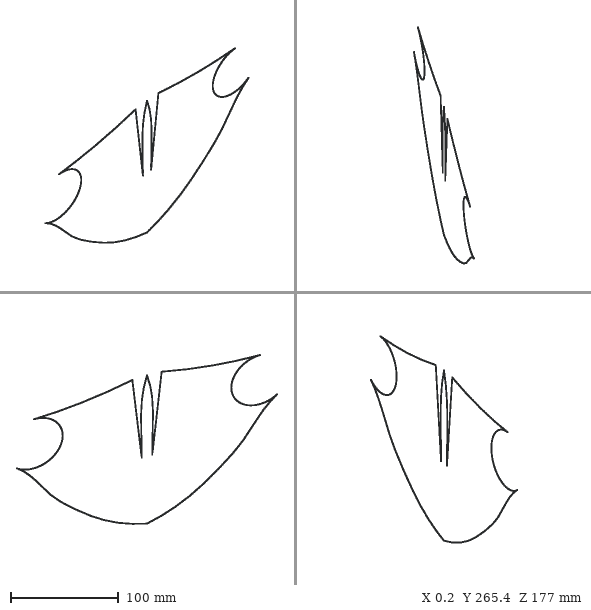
import cadquery as cq
import math

thickness = 0.2
half_width = 132.7
height = 177.0

bite_radius = 29.2
bite_center_y = 115.2
bite_center_z = 133.5
bite_top = (bite_center_y, bite_center_z + bite_radius)
bite_inner = (bite_center_y - bite_radius, bite_center_z)
wing_offset = half_width - bite_center_y
wing_tip = (half_width, bite_center_z - math.sqrt(bite_radius**2 - wing_offset**2))

shoulder = (14.9, 176.2)
upper_edge_middle = (55.5, 168.0)

blade_tip = (0, height)
blade_half_width = 6.0
slit_bottom = (5.3, 80.5)
blade_upper = (5.0, 151.3)
blade_middle = (blade_half_width, 122.0)

keel = (0, 0)
lower_curve = [(118.6, 96.0), (98.7, 67.7), (70.0, 38.7), (45.0, 19.6), (16.7, 5.3), keel]


def half_sheet():
    """Half of the sheet on the +Y side, with its straight edge on the symmetry plane."""
    return (
        cq.Workplane("YZ", origin=(-thickness / 2, 0, 0))
        .moveTo(*blade_tip)
        .spline([blade_upper, blade_middle, slit_bottom], includeCurrent=True)
        .lineTo(*shoulder)
        .spline([upper_edge_middle, bite_top], includeCurrent=True)
        .threePointArc(bite_inner, wing_tip)
        .spline(lower_curve, includeCurrent=True)
        .close()
        .extrude(thickness)
    )


right_half = half_sheet()
result = right_half.union(right_half.mirror("XZ"))